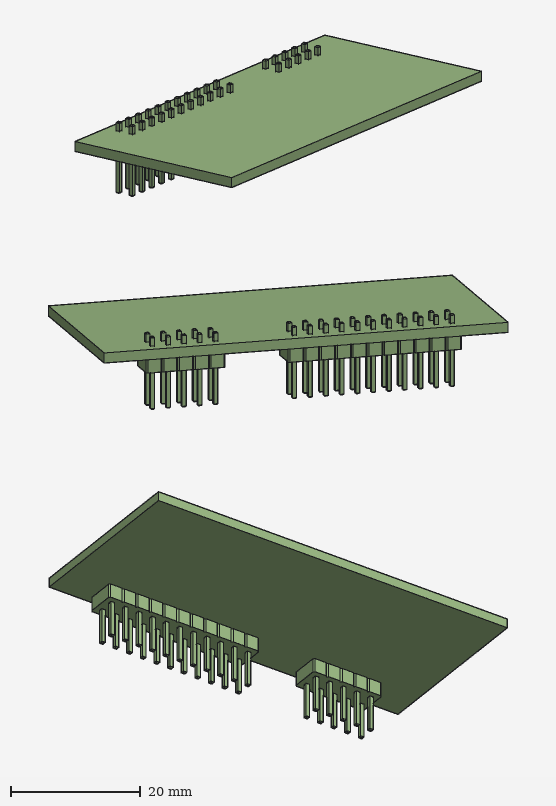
import cadquery as cq

BOARD_WIDTH = 30.0
BOARD_LENGTH = 65.0
BOARD_THICKNESS = 1.6

COLUMNS = 2
GRID_ROWS = 20
GRID_LENGTH = 48.2
PITCH = GRID_LENGTH / (GRID_ROWS - 1)
EDGE_TO_FIRST_COLUMN = 2.3
LONG_HEADER_ROWS = 11
SHORT_HEADER_ROWS = 5

HOUSING_HEIGHT = 2.4
HOUSING_CHAMFER = 0.23

PIN_SIDE = 0.65
PIN_ABOVE_BOARD = 1.4
PIN_BELOW_HOUSING = 6.1
TIP_CHAMFER = 0.16

HOUSING_WIDTH = COLUMNS * PITCH
FIRST_COLUMN_X = -BOARD_WIDTH / 2 + EDGE_TO_FIRST_COLUMN
HOUSING_X = FIRST_COLUMN_X + (COLUMNS - 1) * PITCH / 2
FIRST_ROW_Y = -GRID_LENGTH / 2
PIN_BOTTOM_Z = -HOUSING_HEIGHT - PIN_BELOW_HOUSING
PIN_LENGTH = PIN_BELOW_HOUSING + HOUSING_HEIGHT + BOARD_THICKNESS + PIN_ABOVE_BOARD

LONG_HEADER_GRID = range(LONG_HEADER_ROWS)
SHORT_HEADER_GRID = range(GRID_ROWS - SHORT_HEADER_ROWS, GRID_ROWS)


def row_y(row):
    return FIRST_ROW_Y + row * PITCH


def pin_points(rows):
    return [(FIRST_COLUMN_X + column * PITCH, row_y(row)) for row in rows for column in range(COLUMNS)]


def make_pins(rows):
    """Square pins with chamfered tips at both ends."""
    pin = (
        cq.Workplane("XY")
        .box(PIN_SIDE, PIN_SIDE, PIN_LENGTH, centered=(True, True, False))
        .faces("<Z or >Z")
        .chamfer(TIP_CHAMFER)
        .val()
    )
    return [pin.moved(cq.Location(cq.Vector(x, y, PIN_BOTTOM_Z))) for x, y in pin_points(rows)]


def make_housing(rows):
    """A row of corner-chamfered blocks, so that V notches mark the joint between blocks."""
    block = (
        cq.Workplane("XY")
        .box(HOUSING_WIDTH, PITCH, HOUSING_HEIGHT, centered=(True, True, False))
        .edges("|Z")
        .chamfer(HOUSING_CHAMFER)
        .val()
    )
    housing = cq.Workplane("XY")
    for row in rows:
        housing = housing.add(block.moved(cq.Location(cq.Vector(HOUSING_X, row_y(row), -HOUSING_HEIGHT))))
    return housing.combine()


def make_header(rows):
    """A housing under the board, in one piece with the pins that run through it."""
    header = make_housing(rows)
    for pin in make_pins(rows):
        header = header.union(pin)
    return header


def make_board():
    """A plain board with a square hole fitted to each pin."""
    board = cq.Workplane("XY").box(BOARD_WIDTH, BOARD_LENGTH, BOARD_THICKNESS, centered=(True, True, False))
    holes = (
        cq.Workplane("XY")
        .pushPoints(pin_points(LONG_HEADER_GRID) + pin_points(SHORT_HEADER_GRID))
        .rect(PIN_SIDE, PIN_SIDE)
        .extrude(BOARD_THICKNESS)
    )
    return board.cut(holes)


board = make_board()
headers = [make_header(rows) for rows in (LONG_HEADER_GRID, SHORT_HEADER_GRID)]

result = cq.Compound.makeCompound([board.val(), *[header.val() for header in headers]])